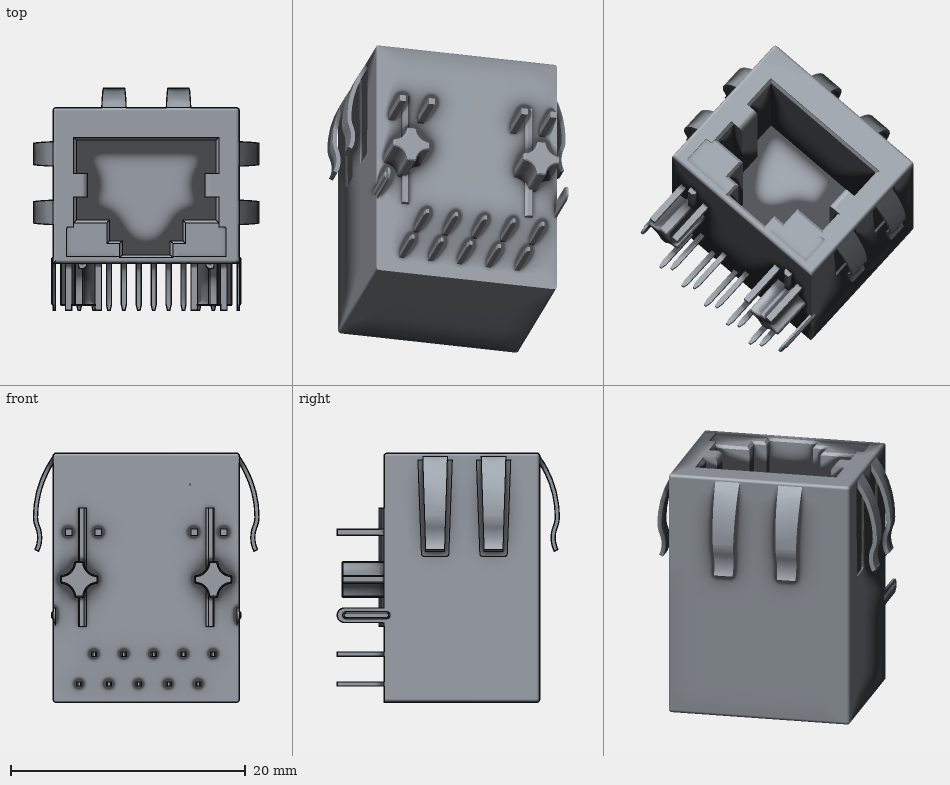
import cadquery as cq
import math


BODY_WIDTH = 15.88
BODY_DEPTH = 13.27
BODY_HEIGHT = 21.25
BODY_EDGE_RADIUS = 0.27
HALF_WIDTH = BODY_WIDTH / 2

RECESS_DEPTH = 0.15
SHIELD_HALF_WIDTH = 6.19
SHIELD_BACK_Y = 10.75
LED_HALF_WIDTH = 6.78
LED_BACK_Y = 3.12
LED_FRONT_Y = 0.6
LED_CORNER = 0.12
CAVITY_DEPTH = 14.0
LEAD_IN = 0.23
SHELF_Y = 3.46
STEP_HALF_WIDTH = 3.35
STEP_Y = 1.7
CHANNEL_HALF_WIDTH = 2.27
CHANNEL_FRONT_Y = 0.5

LATCH_FRONT_Y = 5.67
LATCH_BACK_Y = 7.68
LATCH_TIP_X = 4.99
LATCH_RADIUS = 0.48

SPRING_THICKNESS = 0.36
SPRING_REACH = 1.67
SPRING_CREST_Z = 15.8
SPRING_LONG_RADIUS = 8.8
SPRING_SHORT_RADIUS = 2.3
SPRING_ROOT_ANGLE = 38
SPRING_SWAY_ANGLE = 22.5
SPRING_TIP_ANGLE = 26
SPRING_TOP_WIDTH = 2.12
SPRING_BOTTOM_WIDTH = 1.6
SPRING_BOTTOM_Z = 12.8
SPRING_PITCH = 4.98
SIDE_SPRING_FIRST_Y = 4.35
BACK_SPRING_PITCH = 5.5

WINDOW_DEPTH = 0.2
WINDOW_TOP_Z = 20.65
WINDOW_BOTTOM_Z = 12.43
WINDOW_TOP_WIDTH = 2.93
WINDOW_BOTTOM_WIDTH = 2.32
WINDOW_RADIUS = 0.25

PIN_LENGTH = 4.0
PIN_ROOT = 0.3
CONTACT_COUNT = 10
CONTACT_PITCH = 1.27
CONTACT_ROWS_Z = (1.57, 4.11)
CONTACT_WIDTH = 0.45
CONTACT_HEIGHT = 0.38
CONTACT_TIP_WIDTH = 0.22
CONTACT_TIP_LENGTH = 0.5
LED_PIN_SIZE = 0.55
LED_PIN_Z = 14.5
LED_PINS_X = (4.08, 6.62)

POST_X = 5.715
POST_Z = 10.48
POST_LENGTH = 3.6
POST_HALF_WIDTH = 1.6
POST_HALF_HEIGHT = 1.53
POST_FLUTE_RADIUS = 1.2
POST_CHAMFER = 0.1
RIB_INNER_X = 5.09
RIB_OUTER_X = 5.76
RIB_BOTTOM_Z = 6.48
RIB_TOP_Z = 16.56
RIB_HEIGHT = 0.44
RIB_CHAMFER_HEIGHT = 0.2
RIB_INNER_CHAMFER = 0.2
RIB_OUTER_CHAMFER = 0.07

LEG_Z = 7.43
LEG_WIDTH = 1.25
LEG_THICKNESS = 0.2
LEG_FLARE = 0.2
BEAD_WIDTH = 0.6
BEAD_HEIGHT = 0.15
BEAD_CHAMFER = 0.12
BEAD_BACK_Y = 0.52
BEAD_FRONT_Y = -3.53


def box(x0, x1, y0, y1, z0, z1):
    """Block between two opposite corners."""
    return cq.Workplane("XY").box(x1 - x0, y1 - y0, z1 - z0, centered=False).translate((x0, y0, z0))


def mirrored_pair(solid):
    """The solid together with its mirror image about X = 0."""
    return solid.union(solid.mirror("YZ"))


def forward_prism(outline, length):
    """Extrude an XZ outline from just inside the front face out to -Y = length."""
    return outline.extrude(length + PIN_ROOT).translate((0, PIN_ROOT, 0))


def symmetric_outline(right_half, z):
    """Closed XY outline from the points of its +X half, mirrored about X = 0."""
    left_half = [(-x, y) for x, y in reversed(right_half)]
    return cq.Workplane("XY", origin=(0, 0, z)).polyline(right_half + left_half).close()


def make_body():
    """Block with rounded top edges, back edges and bottom side edges."""
    body = box(-HALF_WIDTH, HALF_WIDTH, 0, BODY_DEPTH, 0, BODY_HEIGHT)
    edges = body.edges(">Z").add(body.edges(">Y")).add(body.edges("<Z").edges("|Y"))
    return edges.fillet(BODY_EDGE_RADIUS)


def make_shield_opening():
    """Shallow opening of the shield, widened at the front for the LED blocks."""
    outline = [
        (CHANNEL_HALF_WIDTH, CHANNEL_FRONT_Y),
        (CHANNEL_HALF_WIDTH, LED_FRONT_Y),
        (LED_HALF_WIDTH, LED_FRONT_Y),
        (LED_HALF_WIDTH, LED_BACK_Y - LED_CORNER),
        (LED_HALF_WIDTH - LED_CORNER, LED_BACK_Y),
        (SHIELD_HALF_WIDTH, LED_BACK_Y),
        (SHIELD_HALF_WIDTH, SHIELD_BACK_Y),
    ]
    return symmetric_outline(outline, BODY_HEIGHT - RECESS_DEPTH).extrude(RECESS_DEPTH)


def cavity_outline(inset, z):
    """T-shaped plug outline, drawn in from its widest size by inset."""
    points = [
        (CHANNEL_HALF_WIDTH - inset, CHANNEL_FRONT_Y + inset),
        (CHANNEL_HALF_WIDTH - inset, STEP_Y + inset),
        (STEP_HALF_WIDTH - inset, STEP_Y + inset),
        (STEP_HALF_WIDTH - inset, SHELF_Y + inset),
        (SHIELD_HALF_WIDTH - inset, SHELF_Y + inset),
        (SHIELD_HALF_WIDTH - inset, SHIELD_BACK_Y - inset),
    ]
    return symmetric_outline(points, z)


def make_cavity():
    """Plug cavity with a 45 degree lead-in at its mouth."""
    mouth_z = BODY_HEIGHT - RECESS_DEPTH
    throat_z = mouth_z - LEAD_IN
    cavity = cavity_outline(LEAD_IN, mouth_z).extrude(-CAVITY_DEPTH)
    throat = cavity_outline(LEAD_IN, throat_z).wires().val()
    mouth = cavity_outline(0, mouth_z).wires().val()
    return cavity.union(cq.Workplane(cq.Solid.makeLoft([throat, mouth], True)))


def make_latches():
    """Full-depth tabs on both side walls with a rounded top edge."""
    floor_z = BODY_HEIGHT - RECESS_DEPTH - CAVITY_DEPTH
    latch = box(LATCH_TIP_X, LED_HALF_WIDTH, LATCH_FRONT_Y, LATCH_BACK_Y, floor_z, BODY_HEIGHT)
    return mirrored_pair(latch.edges("<X and >Z").fillet(LATCH_RADIUS))


def trapezoid(top_width, bottom_width, top_z, bottom_z):
    """Symmetric YZ outline with level top and bottom sides."""
    return (
        cq.Workplane("YZ")
        .polyline([
            (-top_width / 2, top_z),
            (top_width / 2, top_z),
            (bottom_width / 2, bottom_z),
            (-bottom_width / 2, bottom_z),
        ])
        .close()
    )


def make_spring():
    """Spring leaning out of a wall at X = 0 towards +X, centred on Y = 0."""

    def polar(center, radius, degrees):
        angle = math.radians(degrees)
        return (center[0] + radius * math.cos(angle), center[1] + radius * math.sin(angle))

    long_center = (SPRING_REACH - SPRING_LONG_RADIUS, SPRING_CREST_Z)
    short_center = (SPRING_REACH - SPRING_SHORT_RADIUS, SPRING_CREST_Z)
    tip_center = polar(short_center, 2 * SPRING_SHORT_RADIUS, -SPRING_SWAY_ANGLE)
    tip_start = 180 - SPRING_SWAY_ANGLE
    tip_end = 180 + SPRING_TIP_ANGLE

    def face_points(offset):
        """Points along one face, from root to tip: arc start, middle, end, middle, end, ..."""
        long_radius = SPRING_LONG_RADIUS - offset
        short_radius = SPRING_SHORT_RADIUS - offset
        tip_radius = SPRING_SHORT_RADIUS + offset
        return [
            polar(long_center, long_radius, SPRING_ROOT_ANGLE),
            polar(long_center, long_radius, SPRING_ROOT_ANGLE / 2),
            polar(long_center, long_radius, 0),
            polar(short_center, short_radius, -SPRING_SWAY_ANGLE / 2),
            polar(short_center, short_radius, -SPRING_SWAY_ANGLE),
            polar(tip_center, tip_radius, (tip_start + tip_end) / 2),
            polar(tip_center, tip_radius, tip_end),
        ]

    def draw_arcs(profile, points):
        for middle, end in zip(points[1::2], points[2::2]):
            profile = profile.threePointArc(middle, end)
        return profile

    outer_face = face_points(0)
    inner_face = face_points(SPRING_THICKNESS)[::-1]
    profile = draw_arcs(cq.Workplane("XZ").moveTo(*outer_face[0]), outer_face)
    profile = draw_arcs(profile.lineTo(*inner_face[0]), inner_face).close()
    strip = profile.extrude(SPRING_TOP_WIDTH, both=True)
    taper = trapezoid(SPRING_TOP_WIDTH, SPRING_BOTTOM_WIDTH, BODY_HEIGHT, SPRING_BOTTOM_Z)
    return strip.intersect(taper.extrude(SPRING_LONG_RADIUS, both=True))


def make_window():
    """Shallow tapered window behind a side spring, cut into a wall at X = 0."""
    outline = trapezoid(WINDOW_TOP_WIDTH, WINDOW_BOTTOM_WIDTH, WINDOW_TOP_Z, WINDOW_BOTTOM_Z)
    return outline.extrude(-WINDOW_DEPTH).faces("<Z").edges("|X").fillet(WINDOW_RADIUS)


def make_contact(x, z):
    """Flat contact pin whose tip narrows in X."""
    shoulder_y = CONTACT_TIP_LENGTH - PIN_LENGTH
    outline = [
        (-CONTACT_WIDTH / 2, PIN_ROOT),
        (CONTACT_WIDTH / 2, PIN_ROOT),
        (CONTACT_WIDTH / 2, shoulder_y),
        (CONTACT_TIP_WIDTH / 2, -PIN_LENGTH),
        (-CONTACT_TIP_WIDTH / 2, -PIN_LENGTH),
        (-CONTACT_WIDTH / 2, shoulder_y),
    ]
    pin = cq.Workplane("XY").polyline(outline).close().extrude(CONTACT_HEIGHT / 2, both=True)
    return pin.translate((x, 0, z))


def make_led_pins():
    """Plain square pins, two beside each rib."""
    centers = [(x, LED_PIN_Z) for x in LED_PINS_X]
    pins = cq.Workplane("XZ").pushPoints(centers).rect(LED_PIN_SIZE, LED_PIN_SIZE)
    return mirrored_pair(forward_prism(pins, PIN_LENGTH))


def make_post():
    """Cross-shaped post: a block with scooped-out corners and chamfered edges."""
    block = forward_prism(cq.Workplane("XZ").rect(2 * POST_HALF_WIDTH, 2 * POST_HALF_HEIGHT), POST_LENGTH)
    corners = [(side * POST_HALF_WIDTH, level * POST_HALF_HEIGHT) for side in (-1, 1) for level in (-1, 1)]
    flutes = forward_prism(cq.Workplane("XZ").pushPoints(corners).circle(POST_FLUTE_RADIUS), POST_LENGTH)
    post = block.cut(flutes).edges("|Y").chamfer(POST_CHAMFER).faces("<Y").chamfer(POST_CHAMFER)
    return post.translate((POST_X, 0, POST_Z))


def make_rib():
    """Stand-off rib with both front edges chamfered, the inner one more."""
    chamfer_y = RIB_CHAMFER_HEIGHT - RIB_HEIGHT
    outline = [
        (RIB_INNER_X, PIN_ROOT),
        (RIB_INNER_X, chamfer_y),
        (RIB_INNER_X + RIB_INNER_CHAMFER, -RIB_HEIGHT),
        (RIB_OUTER_X - RIB_OUTER_CHAMFER, -RIB_HEIGHT),
        (RIB_OUTER_X, chamfer_y),
        (RIB_OUTER_X, PIN_ROOT),
    ]
    profile = cq.Workplane("XY", origin=(0, 0, RIB_BOTTOM_Z)).polyline(outline).close()
    return profile.extrude(RIB_TOP_Z - RIB_BOTTOM_Z)


def make_leg():
    """Round-ended ground leg in the +X wall, with a raised bead along it."""
    half = LEG_WIDTH / 2
    round_y = half - PIN_LENGTH
    leg = (
        cq.Workplane("YZ", origin=(HALF_WIDTH - LEG_THICKNESS, 0, 0))
        .moveTo(PIN_ROOT, LEG_Z + half)
        .lineTo(round_y, LEG_Z + half)
        .threePointArc((-PIN_LENGTH, LEG_Z), (round_y, LEG_Z - half))
        .lineTo(-LEG_FLARE, LEG_Z - half)
        .radiusArc((0, LEG_Z - half - LEG_FLARE), LEG_FLARE)
        .lineTo(PIN_ROOT, LEG_Z - half - LEG_FLARE)
        .close()
        .extrude(LEG_THICKNESS)
    )
    bead = (
        cq.Workplane("YZ", origin=(HALF_WIDTH - LEG_THICKNESS, (BEAD_BACK_Y + BEAD_FRONT_Y) / 2, LEG_Z))
        .slot2D(BEAD_BACK_Y - BEAD_FRONT_Y, BEAD_WIDTH)
        .extrude(LEG_THICKNESS + BEAD_HEIGHT)
        .faces(">X")
        .chamfer(BEAD_CHAMFER)
    )
    return leg.union(bead)


result = make_body().cut(make_shield_opening()).cut(make_cavity()).union(make_latches())

window = make_window()
spring = make_spring()
for index in range(2):
    location = (HALF_WIDTH, SIDE_SPRING_FIRST_Y + index * SPRING_PITCH, 0)
    result = result.cut(mirrored_pair(window.translate(location)))
    result = result.union(mirrored_pair(spring.translate(location)))
back_spring = spring.rotate((0, 0, 0), (0, 0, 1), 90).translate((BACK_SPRING_PITCH / 2, BODY_DEPTH, 0))
result = result.union(mirrored_pair(back_spring))

first_contact_x = -CONTACT_PITCH * (CONTACT_COUNT - 1) / 2
for index in range(CONTACT_COUNT):
    row_z = CONTACT_ROWS_Z[index % 2]
    result = result.union(make_contact(first_contact_x + index * CONTACT_PITCH, row_z))

result = result.union(make_led_pins())
for feature in (make_rib(), make_post(), make_leg()):
    result = result.union(mirrored_pair(feature))